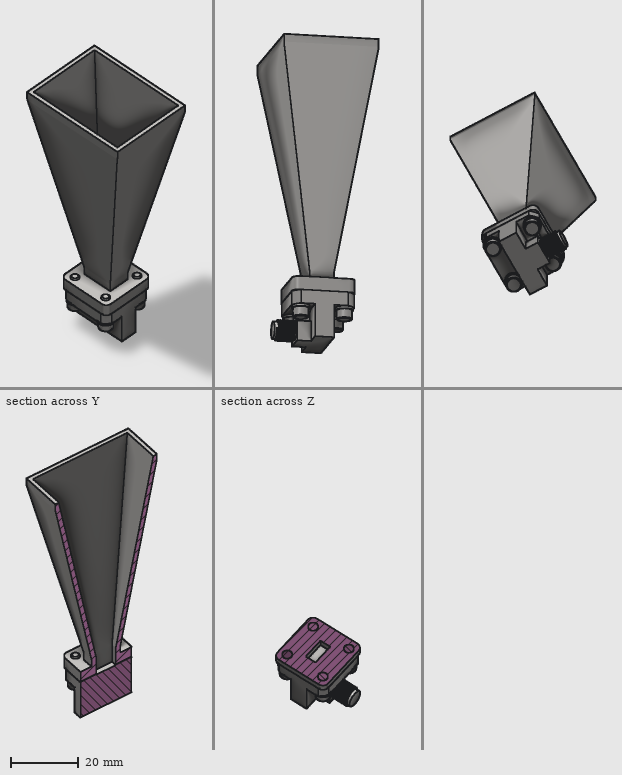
import cadquery as cq

TOTAL_HEIGHT = 90.3
ADAPTER_FLANGE_BOTTOM = 10.0
FLANGE_THICKNESS = 4.2
JOINT_Z = ADAPTER_FLANGE_BOTTOM + FLANGE_THICKNESS
HORN_FLANGE_TOP = JOINT_Z + FLANGE_THICKNESS
NECK_TOP = 21.1

FLANGE_WIDTH = 19.1
HORN_CORNER_RADIUS = 2.0
ADAPTER_CORNER_DIAMETER = 23.9
SCREW_SPACING_X = 12.8
SCREW_SPACING_Y = 13.4

MOUTH_X = 37.85
MOUTH_Y = 28.8
MOUTH_WALL = 1.45
RIM_HEIGHT_X_SIDES = 2.4
RIM_HEIGHT_Y_SIDES = 3.1
NECK_X = 10.9
NECK_Y = 7.5
WAVEGUIDE_X = 7.1
WAVEGUIDE_Y = 3.5

WEB_THICKNESS = 5.9
BLOCK_WIDTH = 7.4
BLOCK_TOP = 6.1
BLOCK_FACE_Y = 7.1

CONNECTOR_Z = 3.7
CONNECTOR_END_Y = 13.8
CONNECTOR_CORE_DIAMETER = 5.3
THREAD_DIAMETER = 6.3
THREAD_PITCH = 0.705
THREAD_TURNS = 8
THREAD_START = 0.2
THREAD_START_ANGLE = 180
THREAD_ROOT_WIDTH = 0.6
THREAD_CREST_WIDTH = 0.1
THREAD_EMBED = 0.1

SCREW_DIAMETER = 2.8
SCREW_TIP_DIAMETER = 2.0
SCREW_PROTRUSION = 0.45
HEAD_DIAMETER = 4.6
HEAD_HEIGHT = 2.9
HEAD_CHAMFER = 0.3
WASHER_DIAMETER = 5.3
WASHER_THICKNESS = 0.75


def flared_profile(plane, neck_width, mouth_width, rim_height, depth):
    """Prism whose outline widens from the neck to an upright rim."""
    rim_bottom = TOTAL_HEIGHT - rim_height
    right_side = [
        (neck_width / 2, JOINT_Z),
        (neck_width / 2, NECK_TOP),
        (mouth_width / 2, rim_bottom),
        (mouth_width / 2, TOTAL_HEIGHT),
    ]
    left_side = [(-u, z) for u, z in reversed(right_side)]
    return cq.Workplane(plane).polyline(right_side + left_side).close().extrude(depth / 2, both=True)


def flange(bottom_z):
    """Square flange plate without its corner treatment."""
    return (
        cq.Workplane("XY", origin=(0, 0, bottom_z))
        .rect(FLANGE_WIDTH, FLANGE_WIDTH)
        .extrude(FLANGE_THICKNESS)
    )


def screw_positions():
    half_x = SCREW_SPACING_X / 2
    half_y = SCREW_SPACING_Y / 2
    return [(x, y) for x in (-half_x, half_x) for y in (-half_y, half_y)]


def drill_screw_holes(body):
    drills = (
        cq.Workplane("XY").pushPoints(screw_positions()).circle(SCREW_DIAMETER / 2).extrude(TOTAL_HEIGHT)
    )
    return body.cut(drills)


def make_horn_flange():
    plate = flange(JOINT_Z).edges("|Z").fillet(HORN_CORNER_RADIUS)
    return drill_screw_holes(plate)


def make_horn():
    x_flare = flared_profile("XZ", NECK_X, MOUTH_X, RIM_HEIGHT_X_SIDES, MOUTH_Y)
    y_flare = flared_profile("YZ", NECK_Y, MOUTH_Y, RIM_HEIGHT_Y_SIDES, MOUTH_X)
    shell = x_flare.intersect(y_flare)
    flare_bore = (
        cq.Workplane("XY", origin=(0, 0, NECK_TOP))
        .rect(WAVEGUIDE_X, WAVEGUIDE_Y)
        .workplane(offset=TOTAL_HEIGHT - NECK_TOP)
        .rect(MOUTH_X - 2 * MOUTH_WALL, MOUTH_Y - 2 * MOUTH_WALL)
        .loft(ruled=True)
    )
    waveguide = (
        cq.Workplane("XY", origin=(0, 0, JOINT_Z)).rect(WAVEGUIDE_X, WAVEGUIDE_Y).extrude(NECK_TOP - JOINT_Z)
    )
    return shell.union(make_horn_flange()).cut(flare_bore).cut(waveguide)


def make_connector_block():
    """Block behind the connector, waisted by a half-round groove along each side."""
    block = cq.Workplane("XY").box(
        BLOCK_WIDTH, BLOCK_FACE_Y, ADAPTER_FLANGE_BOTTOM, centered=(True, False, False)
    )
    groove_radius = (ADAPTER_FLANGE_BOTTOM - BLOCK_TOP) / 2
    groove_z = BLOCK_TOP + groove_radius
    grooves = (
        cq.Workplane("XZ")
        .pushPoints([(-BLOCK_WIDTH / 2, groove_z), (BLOCK_WIDTH / 2, groove_z)])
        .circle(groove_radius)
        .extrude(-BLOCK_FACE_Y)
    )
    return block.cut(grooves)


def make_connector():
    """Round core along +Y that carries a helical thread."""
    core_radius = CONNECTOR_CORE_DIAMETER / 2
    core = cq.Workplane("XY").circle(core_radius).extrude(CONNECTOR_END_Y - BLOCK_FACE_Y)
    root_radius = core_radius - THREAD_EMBED
    crest_radius = THREAD_DIAMETER / 2
    helix = cq.Wire.makeHelix(THREAD_PITCH, THREAD_PITCH * THREAD_TURNS, core_radius)
    ridge = (
        cq.Workplane("XZ")
        .polyline([
            (root_radius, -THREAD_ROOT_WIDTH / 2),
            (crest_radius, -THREAD_CREST_WIDTH / 2),
            (crest_radius, THREAD_CREST_WIDTH / 2),
            (root_radius, THREAD_ROOT_WIDTH / 2),
        ])
        .close()
        .sweep(cq.Workplane(helix), isFrenet=True)
        .rotate((0, 0, 0), (0, 0, 1), THREAD_START_ANGLE)
        .translate((0, 0, THREAD_START))
    )
    threaded = core.union(ridge)
    return threaded.rotate((0, 0, 0), (1, 0, 0), -90).translate((0, BLOCK_FACE_Y, CONNECTOR_Z))


def make_adapter():
    corner_trim = cq.Workplane("XY").circle(ADAPTER_CORNER_DIAMETER / 2).extrude(TOTAL_HEIGHT)
    plate = flange(ADAPTER_FLANGE_BOTTOM).intersect(corner_trim)
    web = cq.Workplane("XY").box(
        FLANGE_WIDTH, WEB_THICKNESS, ADAPTER_FLANGE_BOTTOM, centered=(True, True, False)
    )
    body = drill_screw_holes(plate).union(web).union(make_connector_block())
    return body.union(make_connector())


def make_washer(x, y):
    return (
        cq.Workplane("XY", origin=(x, y, ADAPTER_FLANGE_BOTTOM - WASHER_THICKNESS))
        .circle(WASHER_DIAMETER / 2)
        .circle(SCREW_DIAMETER / 2)
        .extrude(WASHER_THICKNESS)
    )


def make_screw(x, y):
    """Cap screw with its head below the washer and its tip above the horn flange."""
    head_top = ADAPTER_FLANGE_BOTTOM - WASHER_THICKNESS
    tip_inset = (SCREW_DIAMETER - SCREW_TIP_DIAMETER) / 2
    head = (
        cq.Workplane("XY", origin=(x, y, head_top - HEAD_HEIGHT))
        .circle(HEAD_DIAMETER / 2)
        .extrude(HEAD_HEIGHT)
        .faces("<Z")
        .chamfer(HEAD_CHAMFER)
    )
    shank = (
        cq.Workplane("XY", origin=(x, y, head_top))
        .circle(SCREW_DIAMETER / 2)
        .extrude(HORN_FLANGE_TOP + SCREW_PROTRUSION - head_top)
        .faces(">Z")
        .chamfer(SCREW_PROTRUSION, tip_inset)
    )
    return head.union(shank)


horn = make_horn()
adapter = make_adapter()
washers = [make_washer(x, y) for x, y in screw_positions()]
screws = [make_screw(x, y) for x, y in screw_positions()]

result = cq.Compound.makeCompound(
    [horn.val(), adapter.val(), *[body.val() for body in washers + screws]]
)